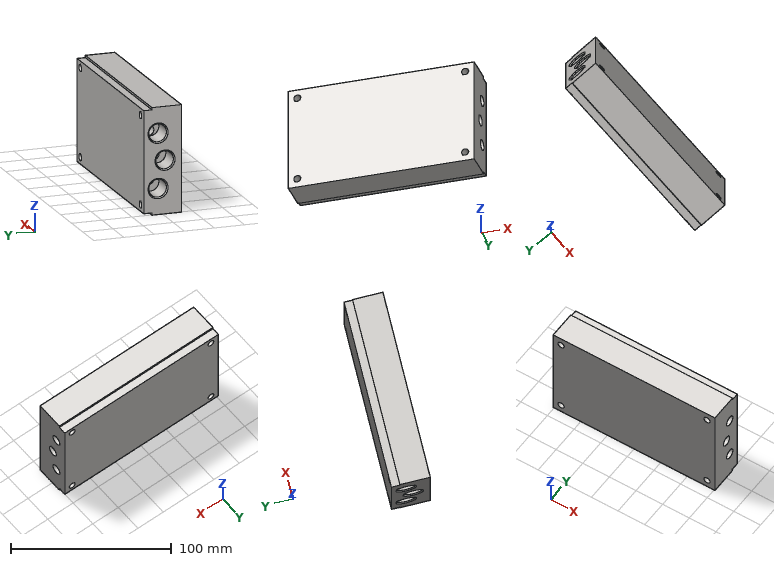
import cadquery as cq

length = 121.5
depth = 25.0
height = 70.0

step_depth = 5.5
step_height = 1.5

mount_diameter = 4.5
mount_inset = 6.0

port_diameter = 11.7
port_mouth_diameter = 13.2
port_length = 14.6
gallery_diameter = 6.9

outer_port_y = 15.5
outer_port_z = 18.0
outer_gallery_y = 16.5
outer_gallery_z = 15.9
middle_port_y = 10.9
middle_gallery_y = 13.0


def make_block():
    """Rectangular block whose back strip is lower at the top and bottom."""
    front = cq.Workplane("XY").box(
        length, depth - step_depth, height, centered=(True, False, True)
    )
    back = cq.Workplane("XY").box(
        length, depth, height - 2 * step_height, centered=(True, False, True)
    )
    return front.union(back)


def make_mounting_holes():
    """Four parallel cylinders running along Y."""
    return (
        cq.Workplane("XZ")
        .rect(length - 2 * mount_inset, height - 2 * mount_inset, forConstruction=True)
        .vertices()
        .circle(mount_diameter / 2)
        .extrude(-depth)
    )


def make_port(y, z):
    """Blind bore from the -X end with a 45 degree chamfered mouth."""
    bore_radius = port_diameter / 2
    mouth_radius = port_mouth_diameter / 2
    chamfer = mouth_radius - bore_radius
    center = cq.Vector(-length / 2, y, z)
    inward = cq.Vector(1, 0, 0)
    bore = cq.Solid.makeCylinder(bore_radius, port_length, center, inward)
    mouth = cq.Solid.makeCone(mouth_radius, bore_radius, chamfer, center, inward)
    return cq.Workplane(bore).union(cq.Workplane(mouth))


def make_gallery(y, z):
    """Round passage along the full length."""
    return (
        cq.Workplane("YZ", origin=(-length / 2, y, z))
        .circle(gallery_diameter / 2)
        .extrude(length)
    )


result = make_block().cut(make_mounting_holes())

for side in (-1, 1):
    result = result.cut(make_port(outer_port_y, side * outer_port_z))
    result = result.cut(make_gallery(outer_gallery_y, side * outer_gallery_z))

result = result.cut(make_port(middle_port_y, 0))
result = result.cut(make_gallery(middle_gallery_y, 0))